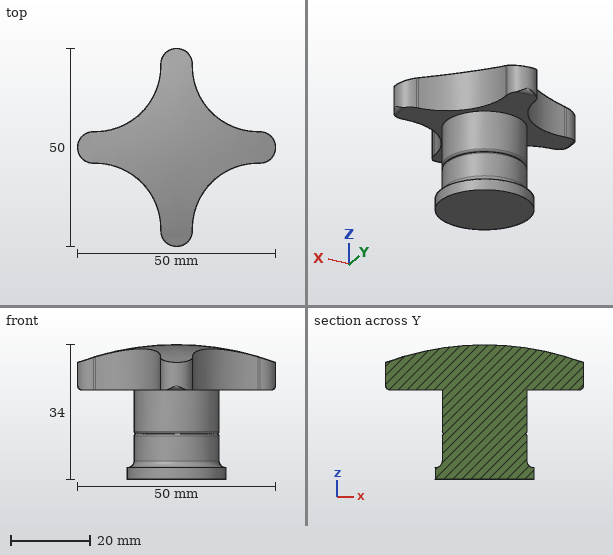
import cadquery as cq
import math

span = 50.0
total_height = 34.0

handle_bottom = 22.5
rim_height = 29.5
lobe_radius = 4.0
rim_round = 1.2
blank_margin = 2.5
lobe_center = span / 2 - lobe_radius
valley_radius = 16.5
valley_center = lobe_radius + valley_radius

stem_radius = 10.75
foot_radius = 12.5
foot_height = 3.0
foot_fillet = 1.65

groove_height = 11.5
groove_lip_radius = 0.6


def domed_disc():
    """Oversize round blank with a spherical top and a rounded lower rim."""
    rim = span / 2
    blank_radius = rim + blank_margin
    dome_rise = total_height - rim_height
    dome_radius = (rim**2 + dome_rise**2) / (2 * dome_rise)

    def dome_point(x):
        return (x, total_height - dome_radius + math.sqrt(dome_radius**2 - x**2))

    round_top = handle_bottom + rim_round
    return (
        cq.Workplane("XZ")
        .moveTo(0, handle_bottom)
        .lineTo(rim - rim_round, handle_bottom)
        .radiusArc((rim, round_top), -rim_round)
        .lineTo(blank_radius, round_top)
        .lineTo(*dome_point(blank_radius))
        .threePointArc(dome_point(rim / 2), (0, total_height))
        .close()
        .revolve(360, (0, 0), (0, 1))
    )


def star_prism():
    """Four round-ended lobes joined by tangent concave valleys."""
    valley_mid = valley_center - valley_radius * math.sqrt(0.5)
    outline = cq.Workplane("XY").workplane(offset=handle_bottom).moveTo(lobe_center, -lobe_radius)
    for quarter in range(4):
        turn = math.radians(90 * quarter)

        def turned(x, y):
            return (
                x * math.cos(turn) - y * math.sin(turn),
                x * math.sin(turn) + y * math.cos(turn),
            )

        outline = outline.threePointArc(turned(span / 2, 0), turned(lobe_center, lobe_radius))
        outline = outline.lineTo(*turned(valley_center, lobe_radius))
        outline = outline.threePointArc(turned(valley_mid, valley_mid), turned(lobe_radius, valley_center))
        outline = outline.lineTo(*turned(lobe_radius, lobe_center))
    return outline.close().extrude(total_height - handle_bottom)


def stem():
    """Turned stem with a filleted foot and a round-lipped groove."""
    groove_radius = stem_radius - groove_lip_radius
    fillet_top = foot_height + foot_fillet
    return (
        cq.Workplane("XZ")
        .lineTo(foot_radius, 0)
        .lineTo(foot_radius, foot_height)
        .lineTo(stem_radius + foot_fillet, foot_height)
        .radiusArc((stem_radius, fillet_top), foot_fillet)
        .lineTo(stem_radius, groove_height - groove_lip_radius)
        .radiusArc((groove_radius, groove_height), -groove_lip_radius)
        .radiusArc((stem_radius, groove_height + groove_lip_radius), -groove_lip_radius)
        .lineTo(stem_radius, handle_bottom)
        .lineTo(0, handle_bottom)
        .close()
        .revolve(360, (0, 0), (0, 1))
    )


handle = domed_disc().intersect(star_prism())
result = handle.union(stem())